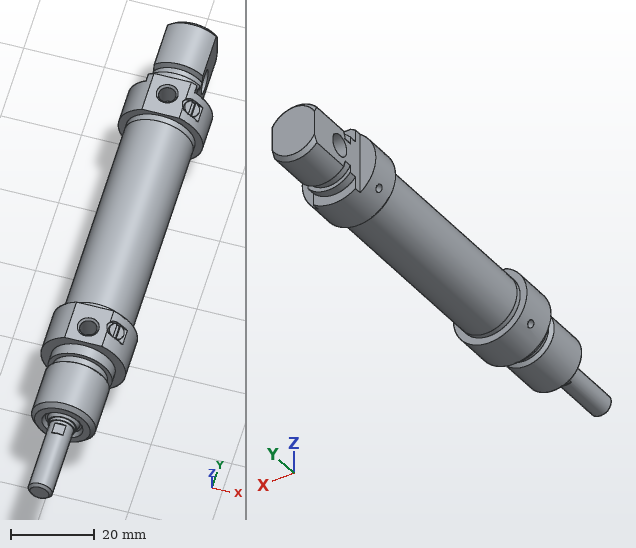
import cadquery as cq
import math

LENGTH = 134.0

NOSE_FACE = 20.0
COLLAR_FACE = 19.2
NOSE_GROOVE_START = 33.0
NOSE_GROOVE_END = 35.4
FRONT_HEAD_START = 38.2
FRONT_HEAD_END = 48.6
TUBE_START = 50.0
TUBE_END = LENGTH - 30.0
REAR_HEAD_START = LENGTH - 28.4
SLOT_END = LENGTH - 19.8
REAR_HEAD_END = LENGTH - 17.8
TAIL_GROOVE_START = LENGTH - 15.5
TAIL_GROOVE_END = LENGTH - 13.4

HEAD_RADIUS = 21.0 / 2
HEAD_HEIGHT = 20.0
HEAD_FLAT_HEIGHT = HEAD_HEIGHT - HEAD_RADIUS
TUBE_RADIUS = 17.2 / 2
TUBE_BORE_RADIUS = 16.0 / 2

NECK_RADIUS = 16.0 / 2
GROOVE_RADIUS = 13.7 / 2
GROOVE_CHAMFER = 0.7
END_CHAMFER = 1.1
TONGUE_THICKNESS = 12.0
PIVOT_DIAMETER = 6.0
PIVOT_Y = LENGTH - 11.0

RECESS_RADIUS = 10.2 / 2
RECESS_FLOOR_RADIUS = 9.1 / 2
RECESS_DEPTH = 1.2
LIP_ROOT_RADIUS = 8.0 / 2
LIP_RADIUS = 7.1 / 2
COLLAR_RADIUS = 6.5 / 2

ROD_RADIUS = 6.0 / 2
ROD_CHAMFER = 0.7
ROD_END = LENGTH - 19.8
WRENCH_FLAT_START = 15.5
WRENCH_FLAT_LENGTH = 2.8
WRENCH_FLAT_HEIGHT = 2.7

PORT_RADIUS = 4.2 / 2
PORT_CHAMFER = 0.5
FRONT_PORT_Y = 42.6
REAR_PORT_Y = LENGTH - 22.5

FRONT_SCREW_Y = 44.2
REAR_SCREW_Y = LENGTH - 24.0
SCREW_ANGLE = 60.0
SCREW_OFFSET = 1.7
SCREW_RADIUS = 4.0 / 2
SCREW_FOOT = 5.4
SCREW_TOP = 10.2
SCREW_SLOT_WIDTH = 1.0
SCREW_SLOT_DEPTH = 0.7
POCKET_FLOOR = 9.5
POCKET_WIDTH = 4.2
POCKET_REACH = 2.8
VENT_ANGLE = 214.0
VENT_DIAMETER = 2.0
VENT_DEPTH = 2.0


def turned(profile):
    """Solid of revolution about the Y axis from (radius, y) points."""
    return cq.Workplane("XY").polyline(profile).close().revolve(360, (0, 0, 0), (0, 1, 0))


def box_between(x_range, y_range, z_range):
    """Axis-aligned box given by its low and high limits."""
    sizes = [high - low for low, high in (x_range, y_range, z_range)]
    corner = (x_range[0], y_range[0], z_range[0])
    return cq.Workplane("XY").box(*sizes, centered=False).translate(corner)


def tilted_plane(angle, y, distance, offset=0):
    """Plane facing outward at an angle from +X, its origin moved sideways by an offset.

    Local x points down the side of the head and local y along Y.
    """
    tilt = math.radians(angle)
    outward = (math.cos(tilt), 0, math.sin(tilt))
    sideways = (math.sin(tilt), 0, -math.cos(tilt))
    origin = (
        distance * outward[0] + offset * sideways[0],
        y,
        distance * outward[2] + offset * sideways[2],
    )
    return cq.Plane(origin=origin, xDir=sideways, normal=outward)


def screw_plane(y, height):
    """Plane across a cushion screw, at a height along the screw's direction."""
    return tilted_plane(SCREW_ANGLE, y, height, SCREW_OFFSET)


def cut_head_features(cap, head_range, port_y, screw_y):
    """Cut the top flat, port, screw pocket, screw hole and vent that both heads share."""
    wide = (-HEAD_RADIUS, HEAD_RADIUS)
    cap = cap.cut(box_between(wide, head_range, (HEAD_FLAT_HEIGHT, 2 * HEAD_RADIUS)))

    port = cq.Workplane("XY").center(0, port_y).circle(PORT_RADIUS).extrude(HEAD_FLAT_HEIGHT)
    countersink = (
        cq.Workplane("XY", origin=(0, port_y, HEAD_FLAT_HEIGHT))
        .circle(PORT_RADIUS + PORT_CHAMFER)
        .extrude(-PORT_RADIUS - PORT_CHAMFER, taper=45)
    )
    cap = cap.cut(port).cut(countersink)

    end_radius = POCKET_WIDTH / 2
    arc_x = end_radius - POCKET_REACH
    pocket = (
        cq.Workplane(screw_plane(screw_y, POCKET_FLOOR))
        .moveTo(HEAD_RADIUS, end_radius)
        .lineTo(arc_x, end_radius)
        .threePointArc((-POCKET_REACH, 0), (arc_x, -end_radius))
        .lineTo(HEAD_RADIUS, -end_radius)
        .close()
        .extrude(HEAD_RADIUS)
    )
    screw_hole = (
        cq.Workplane(screw_plane(screw_y, SCREW_FOOT)).circle(SCREW_RADIUS).extrude(HEAD_RADIUS)
    )
    vent = (
        cq.Workplane(tilted_plane(VENT_ANGLE, screw_y, HEAD_RADIUS - VENT_DEPTH))
        .circle(VENT_DIAMETER / 2)
        .extrude(HEAD_RADIUS)
    )
    return cap.cut(pocket).cut(screw_hole).cut(vent)


def make_front_cap():
    cap = turned([
        (ROD_RADIUS, COLLAR_FACE),
        (COLLAR_RADIUS, COLLAR_FACE),
        (COLLAR_RADIUS, NOSE_FACE),
        (LIP_RADIUS, NOSE_FACE),
        (LIP_ROOT_RADIUS, NOSE_FACE + RECESS_DEPTH),
        (RECESS_FLOOR_RADIUS, NOSE_FACE + RECESS_DEPTH),
        (RECESS_RADIUS, NOSE_FACE),
        (NECK_RADIUS - END_CHAMFER, NOSE_FACE),
        (NECK_RADIUS, NOSE_FACE + END_CHAMFER),
        (NECK_RADIUS, NOSE_GROOVE_START),
        (GROOVE_RADIUS, NOSE_GROOVE_START + GROOVE_CHAMFER),
        (GROOVE_RADIUS, NOSE_GROOVE_END),
        (NECK_RADIUS, NOSE_GROOVE_END),
        (NECK_RADIUS, FRONT_HEAD_START),
        (HEAD_RADIUS, FRONT_HEAD_START),
        (HEAD_RADIUS, FRONT_HEAD_END),
        (TUBE_RADIUS, FRONT_HEAD_END),
        (TUBE_RADIUS, TUBE_START),
        (ROD_RADIUS, TUBE_START),
    ])
    return cut_head_features(cap, (FRONT_HEAD_START, FRONT_HEAD_END), FRONT_PORT_Y, FRONT_SCREW_Y)


def make_rear_cap():
    cap = turned([
        (ROD_RADIUS, TUBE_END),
        (TUBE_RADIUS, TUBE_END),
        (TUBE_RADIUS, REAR_HEAD_START),
        (HEAD_RADIUS, REAR_HEAD_START),
        (HEAD_RADIUS, REAR_HEAD_END),
        (NECK_RADIUS, REAR_HEAD_END),
        (NECK_RADIUS, TAIL_GROOVE_START),
        (GROOVE_RADIUS, TAIL_GROOVE_START),
        (GROOVE_RADIUS, TAIL_GROOVE_END),
        (NECK_RADIUS, TAIL_GROOVE_END + GROOVE_CHAMFER),
        (NECK_RADIUS, LENGTH - END_CHAMFER),
        (NECK_RADIUS - END_CHAMFER, LENGTH),
        (0, LENGTH),
        (0, ROD_END),
        (ROD_RADIUS, ROD_END),
    ])
    cap = cut_head_features(cap, (REAR_HEAD_START, REAR_HEAD_END), REAR_PORT_Y, REAR_SCREW_Y)

    inner = TONGUE_THICKNESS / 2
    tall = (-HEAD_RADIUS, HEAD_RADIUS)
    for side_range in ((-HEAD_RADIUS, -inner), (inner, HEAD_RADIUS)):
        cap = cap.cut(box_between(side_range, (SLOT_END, LENGTH), tall))
    pivot = (
        cq.Workplane("YZ").center(PIVOT_Y, 0).circle(PIVOT_DIAMETER / 2).extrude(TONGUE_THICKNESS, both=True)
    )
    return cap.cut(pivot)


def make_tube():
    return turned([
        (TUBE_BORE_RADIUS, TUBE_START),
        (TUBE_RADIUS, TUBE_START),
        (TUBE_RADIUS, TUBE_END),
        (TUBE_BORE_RADIUS, TUBE_END),
    ])


def make_rod():
    rod = turned([
        (0, 0),
        (ROD_RADIUS - ROD_CHAMFER, 0),
        (ROD_RADIUS, ROD_CHAMFER),
        (ROD_RADIUS, ROD_END),
        (0, ROD_END),
    ])
    wide = (-ROD_RADIUS, ROD_RADIUS)
    flat_range = (WRENCH_FLAT_START, WRENCH_FLAT_START + WRENCH_FLAT_LENGTH)
    for height_range in ((WRENCH_FLAT_HEIGHT, ROD_RADIUS), (-ROD_RADIUS, -WRENCH_FLAT_HEIGHT)):
        rod = rod.cut(box_between(wide, flat_range, height_range))
    return rod


def make_cushion_screw(y):
    screw = (
        cq.Workplane(screw_plane(y, SCREW_FOOT)).circle(SCREW_RADIUS).extrude(SCREW_TOP - SCREW_FOOT)
    )
    slot = (
        cq.Workplane(screw_plane(y, SCREW_TOP - SCREW_SLOT_DEPTH))
        .rect(SCREW_SLOT_WIDTH, 2 * SCREW_RADIUS)
        .extrude(SCREW_SLOT_DEPTH)
    )
    return screw.cut(slot)


front_cap = make_front_cap()
rear_cap = make_rear_cap()
tube = make_tube()
rod = make_rod()
cushion_screws = [make_cushion_screw(y) for y in (FRONT_SCREW_Y, REAR_SCREW_Y)]

result = cq.Compound.makeCompound([
    front_cap.val(),
    rear_cap.val(),
    tube.val(),
    rod.val(),
    *[screw.val() for screw in cushion_screws],
])